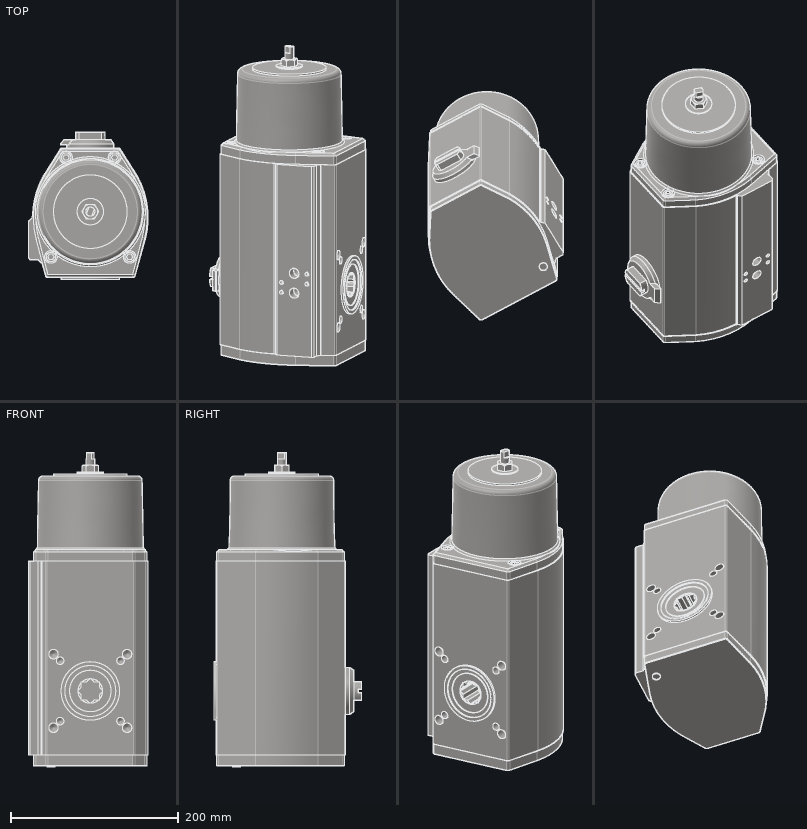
import cadquery as cq
import math


front_y = -78.5
front_half_width = 53.0
back_half_width = 34.5
cap_back_y = 75.0
cap_half_width = 68.0
side_growth = 1.0
front_growth = 0.5
widest_y = -5.5
upper_tangent = (55.0, 43.0)
lower_tangent = (65.0, -31.5)
cap_corner_radius = 3.5
housing_corner_radius = 2.0
lower_cap_top = 13.0
housing_top = 245.3
cap_top = 259.0
cap_chamfer = 3.0
base_chamfer = 0.8

screw_places = [(-29.0, 64.7), (29.0, 64.7), (-47.0, -54.0), (47.0, -54.0)]
screw_pocket_radius = 7.5
screw_pocket_depth = 9.5
screw_head_radius = 5.5
screw_head_height = 8.3
screw_socket_width = 7.5
screw_socket_depth = 3.8
stub_radius = 5.0
stub_length = 1.0

canister_base_radius = 63.5
canister_top_radius = 62.0
canister_top = 347.2
canister_edge = 5.5
flare = 2.3
cover_radius = 44.0
cover_top = 349.5
washer_radius = 15.8
washer_top = 351.7
washer_thickness = 1.0
washer_seat_radius = 13.5
nut_corners = 20.0
nut_top = 360.0
nut_chamfer = 1.0
spindle_diameter = 11.0
spindle_radius = spindle_diameter / 2
overall_height = 376.2
spindle_top = overall_height - stub_length
spindle_flat_bottom = 367.5
spindle_flat_width = 6.8
spindle_turn = -20

pad_x = -74.0
pad_root_x = -56.5
pad_back = (-70.0, -6.0)
pad_back_step = 2.0
pad_face_back_y = -11.3
pad_face_front_y = -55.0
pad_front_y = -57.5
pad_front_chamfer = 2.0
pad_toe_start_x = -63.0
pad_toe = 3.8
port_radius = 6.0
port_depth = 15.0
pad_hole_radius = 2.3
pad_hole_depth = 7.5
port_y = -33.0
port_pitch = 24.0
pad_hole_offset = 16.0

drive_z = 90.0
drive_ring_radius = 35.0
drive_recess_radius = 30.5
drive_recess_depth = 1.5
shaft_radius = 25.0
shaft_depth = 2.5
drive_height = 2.5
drive_square = 22.0
drive_bore_radius = 14.5
drive_bore_depth = 37.5
bore_lead_in = 1.0
large_hole_offset = 44.0
large_hole_radius = 5.5
small_hole_offset = 36.0
small_hole_radius = 4.5
mount_hole_depth = 15.0

indicator_radius = 28.2
indicator_face_radius = 25.0
indicator_rim_y = 81.0
indicator_face_y = 86.0
pointer_tip_x = -35.7
pointer_face_x = -31.5
pointer_half_width = 12.5
pointer_lip = 1.0
stem_end_y = 95.0
stem_radius = 17.5
stem_flats = 22.5
slot_width = 3.8
slot_depth = 3.8

drill_point_angle = 118


def barrel_block(growth, front, radius, bottom, top):
    """Block with a symmetric barrel-sided section and rounded vertical corners."""
    back = (back_half_width + growth / 2, cap_back_y + growth)
    upper = (upper_tangent[0] + growth, upper_tangent[1])
    lower = (lower_tangent[0] + growth, lower_tangent[1])
    widest = cap_half_width + growth
    block = (
        cq.Workplane("XY", origin=(0, 0, bottom))
        .moveTo(front_half_width, front)
        .lineTo(*lower)
        .threePointArc((widest, widest_y), upper)
        .lineTo(*back)
        .lineTo(-back[0], back[1])
        .lineTo(-upper[0], upper[1])
        .threePointArc((-widest, widest_y), (-lower[0], lower[1]))
        .lineTo(-front_half_width, front)
        .close()
        .extrude(top - bottom)
    )
    return block.edges("|Z").edges("<Y or >Y").fillet(radius)


def drilled_hole(radius, depth):
    """Blind hole along +Z from the origin, ending in a drill point."""
    point = radius / math.tan(math.radians(drill_point_angle / 2))
    return (
        cq.Workplane("XZ")
        .polyline([(0, 0), (radius, 0), (radius, depth), (0, depth + point)])
        .close()
        .revolve(360, (0, 0), (0, 1))
    )


def port_pad():
    """Flat ridge along the housing that carries the air ports."""
    back_x, back_y = pad_back
    toe_y = pad_front_y - pad_toe
    outline = [
        (pad_root_x, back_y),
        (back_x, back_y),
        (back_x, back_y - pad_back_step),
        (pad_x, pad_face_back_y),
        (pad_x, pad_face_front_y),
        (pad_x + pad_front_chamfer, pad_front_y),
        (pad_toe_start_x, pad_front_y),
        (pad_toe_start_x + pad_toe, toe_y),
        (pad_root_x, toe_y),
    ]
    height = housing_top - lower_cap_top
    return cq.Workplane("XY").workplane(offset=lower_cap_top).polyline(outline).close().extrude(height)


def main_body():
    cap_front = front_y + front_growth
    lower_cap = barrel_block(0, cap_front, cap_corner_radius, 0, lower_cap_top)
    lower_cap = lower_cap.faces("<Z").chamfer(base_chamfer)
    upper_cap = barrel_block(0, cap_front, cap_corner_radius, housing_top, cap_top)
    upper_cap = upper_cap.faces(">Z").chamfer(cap_chamfer)
    housing = barrel_block(side_growth, front_y, housing_corner_radius, lower_cap_top, housing_top)
    return housing.union(lower_cap).union(upper_cap).union(port_pad())


def canister():
    """Tapered canister with its cover, washer seat and washer, turned about Z."""
    base_z = cap_top + flare
    return (
        cq.Workplane("XZ")
        .moveTo(0, cap_top - cap_chamfer)
        .lineTo(canister_base_radius + flare, cap_top - cap_chamfer)
        .lineTo(canister_base_radius + flare, cap_top)
        .lineTo(canister_base_radius, base_z)
        .lineTo(canister_top_radius, canister_top - canister_edge)
        .radiusArc((canister_top_radius - canister_edge, canister_top), -canister_edge)
        .lineTo(cover_radius, canister_top)
        .lineTo(cover_radius, cover_top)
        .lineTo(washer_seat_radius, cover_top)
        .lineTo(washer_radius, washer_top - washer_thickness)
        .lineTo(washer_radius, washer_top)
        .lineTo(0, washer_top)
        .close()
        .revolve(360, (0, 0), (0, 1))
    )


def nut_and_spindle():
    nut_height = nut_top - washer_top
    turned_nut = cq.Workplane("XY").circle(nut_corners / 2).extrude(nut_height)
    turned_nut = turned_nut.faces(">Z").chamfer(nut_chamfer)
    nut = cq.Workplane("XY").polygon(6, nut_corners).extrude(nut_height).intersect(turned_nut)
    spindle = cq.Workplane("XY").circle(spindle_radius).extrude(spindle_flat_bottom - washer_top)
    tang_height = spindle_top - spindle_flat_bottom
    tang = (
        cq.Workplane("XY")
        .rect(spindle_flat_width, 2 * spindle_radius)
        .extrude(tang_height)
        .intersect(cq.Workplane("XY").circle(spindle_radius).extrude(tang_height))
        .rotate((0, 0, 0), (0, 0, 1), spindle_turn)
        .translate((0, 0, spindle_flat_bottom - washer_top))
    )
    return nut.union(spindle).union(tang).translate((0, 0, washer_top))


def add_cap_screws(body):
    pocket_floor = cap_top - screw_pocket_depth
    for x, y in screw_places:
        pocket = cq.Workplane("XY").circle(screw_pocket_radius).extrude(screw_pocket_depth)
        head = cq.Workplane("XY").circle(screw_head_radius).extrude(screw_head_height)
        head = head.faces(">Z").workplane().polygon(6, screw_socket_width).cutBlind(-screw_socket_depth)
        place = (x, y, pocket_floor)
        body = body.cut(pocket.translate(place)).union(head.translate(place))
    return body


def screw_stub():
    """End of the front left screw standing out below the lower cap."""
    x, y = screw_places[2]
    return cq.Workplane("XY").center(x, y).circle(stub_radius).extrude(-stub_length)


def cut_ports(body):
    """Two air ports and four small holes, drilled into the pad along +X."""
    low, mid, high = drive_z, drive_z + port_pitch / 2, drive_z + port_pitch
    places = [(port_y, z, port_radius, port_depth) for z in (low, high)]
    for side, heights in ((1, (low, mid)), (-1, (mid, high))):
        for z in heights:
            places.append((port_y + side * pad_hole_offset, z, pad_hole_radius, pad_hole_depth))
    for y, z, radius, depth in places:
        hole = drilled_hole(radius, depth).rotate((0, 0, 0), (0, 1, 0), 90)
        body = body.cut(hole.translate((pad_x, y, z)))
    return body


def drive_plane(y):
    """Sketch plane at the drive centre whose normal points to -Y."""
    return cq.Workplane("XZ", origin=(0, y, drive_z))


def add_drive(body):
    face_y = front_y - drive_height
    ring = drive_plane(front_y).circle(drive_ring_radius).extrude(drive_height)
    recess = drive_plane(face_y).circle(drive_recess_radius).extrude(-drive_recess_depth)
    shaft_end = drive_plane(face_y).circle(shaft_radius).extrude(-shaft_depth)
    body = body.union(ring).cut(recess).cut(shaft_end)

    bore_plane = drive_plane(face_y + shaft_depth)
    square = bore_plane.rect(drive_square, drive_square).extrude(-drive_bore_depth)
    turned = square.rotate((0, 0, drive_z), (0, 1, drive_z), 45)
    limit = bore_plane.circle(drive_bore_radius).extrude(-drive_bore_depth)
    lead_in = bore_plane.circle(drive_bore_radius).extrude(-bore_lead_in)
    return body.cut(square.union(turned.intersect(limit))).cut(lead_in)


def cut_mount_holes(body):
    for offset, radius in ((large_hole_offset, large_hole_radius), (small_hole_offset, small_hole_radius)):
        hole = drilled_hole(radius, mount_hole_depth).rotate((0, 0, 0), (1, 0, 0), -90)
        for side in (-1, 1):
            for level in (-1, 1):
                body = body.cut(hole.translate((side * offset, front_y, drive_z + level * offset)))
    return body


def indicator():
    """Round indicator cap with a pointer and a slotted, flatted stem."""
    cap = (
        cq.Workplane("XY")
        .polyline([
            (0, cap_back_y), (indicator_radius, cap_back_y), (indicator_radius, indicator_rim_y),
            (indicator_face_radius, indicator_face_y), (0, indicator_face_y),
        ])
        .close()
        .revolve(360, (0, 0), (0, 1))
    )
    pointer = (
        cq.Workplane("XY")
        .polyline([
            (0, indicator_rim_y - pointer_lip), (pointer_tip_x, indicator_rim_y - pointer_lip),
            (pointer_tip_x, indicator_rim_y), (pointer_face_x, indicator_face_y), (0, indicator_face_y),
        ])
        .close()
        .extrude(pointer_half_width, both=True)
    )
    stem_length = stem_end_y - cap_back_y
    stem = cq.Workplane("XZ", origin=(0, stem_end_y, 0)).circle(stem_radius).extrude(stem_length)
    flats = (
        cq.Workplane("XZ", origin=(0, stem_end_y, 0))
        .rect(2 * stem_radius, stem_flats)
        .extrude(stem_length)
    )
    slot = (
        cq.Workplane("XZ", origin=(0, stem_end_y, 0))
        .rect(2 * stem_radius, slot_width)
        .extrude(slot_depth)
    )
    return cap.union(pointer).union(stem.intersect(flats)).cut(slot).translate((0, 0, drive_z))


body = main_body().union(canister())
body = add_cap_screws(body)
body = body.union(nut_and_spindle()).union(screw_stub()).union(indicator())
body = cut_ports(body)
body = add_drive(body)
result = cut_mount_holes(body)